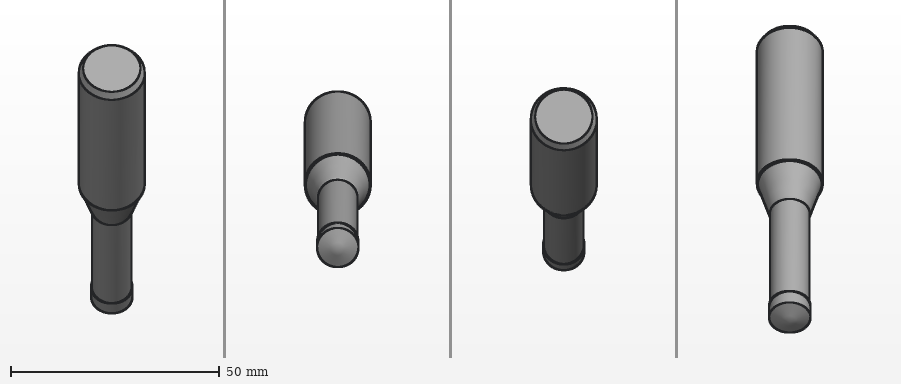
import cadquery as cq

total_length = 96.8
shank_diameter = 15.9
neck_diameter = 9.6
tip_diameter = 10.0

tip_edge_height = 1.8
tip_top_height = 5.9
neck_top_height = 38.3
taper_top_height = 48.6

end_chamfer_radial = 1.1
end_chamfer_length = 1.8
taper_shoulder_width = 0.3
taper_shoulder_height = 0.3
taper_lip_height = 0.6
taper_lip_width = 0.3

shank_radius = shank_diameter / 2
neck_radius = neck_diameter / 2
tip_radius = tip_diameter / 2


def revolve_profile(points):
    """Revolve a closed (radius, height) profile around the Z axis."""
    profile = cq.Workplane("XZ").polyline(points).close()
    return profile.revolve(360, (0, 0, 0), (0, 1, 0))


def make_holder():
    """Chamfered shank, taper and slim neck."""
    return revolve_profile([
        (0, tip_top_height),
        (neck_radius, tip_top_height),
        (neck_radius, neck_top_height),
        (neck_radius + taper_lip_width, neck_top_height + taper_lip_height),
        (shank_radius - taper_shoulder_width, taper_top_height),
        (shank_radius, taper_top_height + taper_shoulder_height),
        (shank_radius, total_length - end_chamfer_length),
        (shank_radius - end_chamfer_radial, total_length),
        (0, total_length),
    ])


def make_tip():
    """Cylindrical cutting tip with a conical point, seated on the neck end."""
    return revolve_profile([
        (0, 0),
        (tip_radius, tip_edge_height),
        (tip_radius, tip_top_height),
        (0, tip_top_height),
    ])


holder = make_holder()
tip = make_tip()
result = cq.Compound.makeCompound([holder.val(), tip.val()])